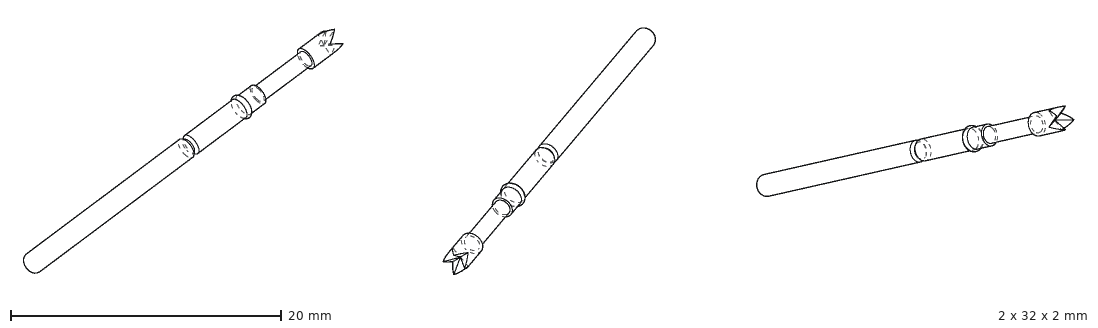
import cadquery as cq
import math

total_length = 32.0

head_radius = 0.9
head_length = 3.0
plunger_radius = 0.65
tooth_depth = 1.1

barrel_radius = 0.83
barrel_length = 24.0
tail_fillet = 0.48

collar_radius = 1.0
collar_start = 22.0
collar_width = 0.48

groove_radius = 0.65
groove_start = 16.48
groove_width = 0.5


def make_body():
    """Revolve the half profile (radius, Y) of the whole probe about the Y axis."""
    collar_end = collar_start + collar_width
    groove_end = groove_start + groove_width
    head_start = total_length - head_length
    return (
        cq.Workplane("XY")
        .lineTo(barrel_radius - tail_fillet, 0)
        .radiusArc((barrel_radius, tail_fillet), -tail_fillet)
        .lineTo(barrel_radius, groove_start)
        .lineTo(groove_radius, groove_start + groove_width / 2)
        .lineTo(barrel_radius, groove_end)
        .lineTo(barrel_radius, collar_start)
        .threePointArc((collar_radius, collar_start + collar_width / 2), (barrel_radius, collar_end))
        .lineTo(barrel_radius, barrel_length)
        .lineTo(plunger_radius, barrel_length)
        .lineTo(plunger_radius, head_start)
        .lineTo(head_radius, head_start)
        .lineTo(head_radius, total_length)
        .lineTo(0, total_length)
        .close()
        .revolve(360, (0, 0, 0), (0, 1, 0))
    )


def make_crown_cut(angle):
    """V channel across the head, turned about Y; a crossed pair leaves four pointed teeth."""
    half_width = head_radius * math.sin(math.pi / 4)
    cut_scale = 2
    wedge_bottom = total_length - tooth_depth
    wedge_top = wedge_bottom + cut_scale * tooth_depth
    return (
        cq.Workplane("XY")
        .moveTo(0, wedge_bottom)
        .lineTo(cut_scale * half_width, wedge_top)
        .lineTo(-cut_scale * half_width, wedge_top)
        .close()
        .extrude(2 * head_radius, both=True)
        .rotate((0, 0, 0), (0, 1, 0), angle)
    )


result = make_body()
for channel_angle in (45, -45):
    result = result.cut(make_crown_cut(channel_angle))